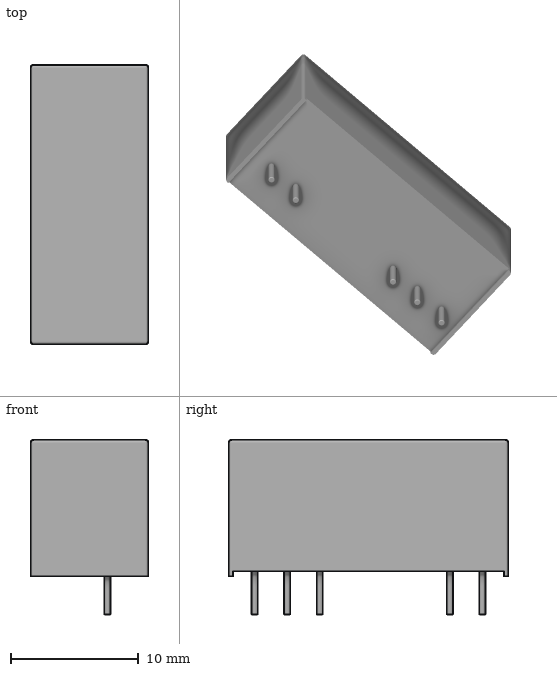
import cadquery as cq

case_width = 9.2
case_length = 21.85
total_height = 13.65
case_height = 10.68
edge_radius = 0.25

foot_height = 0.4
foot_length = 0.35

pin_diameter = 0.5
pin_tip_radius = 0.09
pin_row_span = 17.79
pin_row_x = 1.4
pin_grid_places = (-3.5, -2.5, -1.5, 2.5, 3.5)
pin_embed = 0.22

pin_tip_z = case_height - total_height
pin_pitch = pin_row_span / (pin_grid_places[-1] - pin_grid_places[0])


def make_case():
    """Rounded block standing on z = 0, with a full-width recess between its end feet."""
    block = cq.Workplane("XY").box(case_width, case_length, case_height, centered=(True, True, False))
    block = block.edges("|Z or >Z").fillet(edge_radius)
    recess_length = case_length - 2 * foot_length
    recess = cq.Workplane("XY").box(case_width, recess_length, foot_height, centered=(True, True, False))
    return block.cut(recess)


def make_pin(y):
    """Round pin with a rounded tip, sunk slightly into the raised underside."""
    pin_length = foot_height + pin_embed - pin_tip_z
    pin = cq.Workplane("XY", origin=(pin_row_x, y, pin_tip_z)).circle(pin_diameter / 2).extrude(pin_length)
    return pin.faces("<Z").edges().fillet(pin_tip_radius)


result = make_case()
for place in pin_grid_places:
    result = result.union(make_pin(place * pin_pitch))